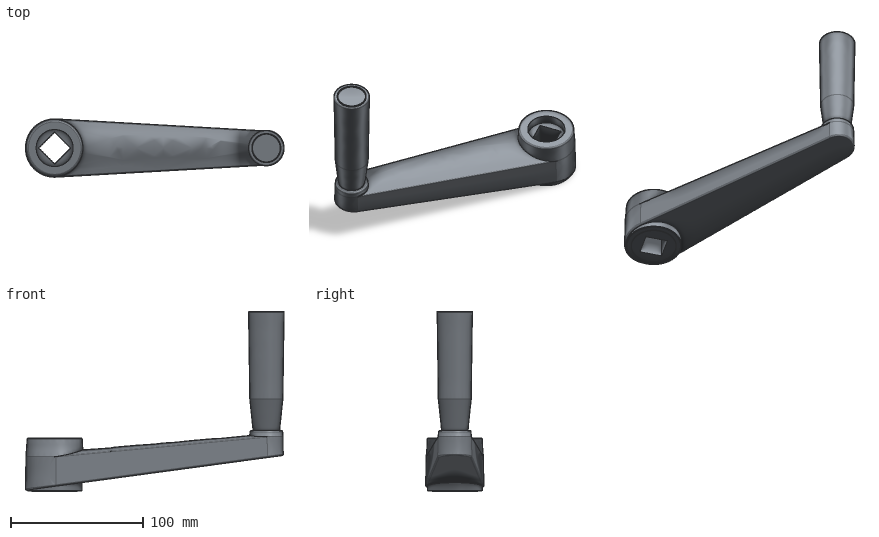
import cadquery as cq
import math

HUB_RADIUS = 22.17
HUB_HEIGHT = 40.5
HUB_SHOULDER_Z = 26.4
HUB_TOP_RADIUS = 20.8
HUB_TOP_FILLET = 1.0
BOSS_RADIUS = 20.8
BOSS_BOTTOM_CHAMFER = 0.5
FOOT_RADIUS = 17.0
FOOT_HEIGHT = 0.5
BORE_DIAMETER = 28.0
BORE_DEPTH = 7.0
SQUARE_SIDE = 17.0

ARM_LENGTH = 160.0
TIP_RADIUS = 13.4
DRAFT_ANGLE = 1.0
UNDERSIDE_Z = 4.0
UNDERSIDE_ANGLE = 7.7
CROWN_Z = 29.8
CROWN_ANGLE = 4.9
HUB_CROWN_RISE = 3.3
TIP_CROWN_RISE = 2.1
UNDERSIDE_FILLET = 1.0
CROWN_FILLET = 0.6
ARCH_OVERHANG = 3.5
END_MARGIN = 1.0

COLLAR_BASE_Z = 41.7
CORE_DEPTH = 7.0
CORE_RADIUS = 12.0
COLLAR_TOP_Z = 46.2
COLLAR_TOP_RADIUS = 12.3
COLLAR_FILLET = 1.3

HANDLE_TOP_Z = 136.16
HANDLE_WAIST_Z = 70.2
HANDLE_FOOT_RADIUS = 10.05
HANDLE_WAIST_RADIUS = 12.55
HANDLE_TOP_RADIUS = 13.47
HANDLE_TOP_FILLET = 0.6
HANDLE_FOOT_FILLET = 0.4
CAP_BORE_DIAMETER = 22.0
CAP_DIAMETER = 21.0
CAP_GROOVE_DEPTH = 0.6


def cone(x, bottom_z, bottom_radius, top_z, top_radius):
    """Frustum about the vertical line at x."""
    return (
        cq.Workplane("XY", origin=(x, 0, bottom_z))
        .circle(bottom_radius)
        .workplane(offset=top_z - bottom_z)
        .circle(top_radius)
        .loft(ruled=True)
    )


def drafted(radius, z):
    """Radius that a wall of the given base radius has at height z."""
    return radius - z * math.tan(math.radians(DRAFT_ANGLE))


def plan_outline(height):
    """Two circles joined by their common tangents, extruded upward with draft."""
    lean = math.asin((HUB_RADIUS - TIP_RADIUS) / ARM_LENGTH)
    hub_x, hub_y = HUB_RADIUS * math.sin(lean), HUB_RADIUS * math.cos(lean)
    tip_x, tip_y = ARM_LENGTH + TIP_RADIUS * math.sin(lean), TIP_RADIUS * math.cos(lean)
    return (
        cq.Workplane("XY")
        .moveTo(hub_x, -hub_y)
        .lineTo(tip_x, -tip_y)
        .threePointArc((ARM_LENGTH + TIP_RADIUS, 0), (tip_x, tip_y))
        .lineTo(hub_x, hub_y)
        .threePointArc((-HUB_RADIUS, 0), (hub_x, -hub_y))
        .close()
        .extrude(height, taper=DRAFT_ANGLE)
    )


def arm_section(x):
    """Cross-section of the arm at x: arched top, flat bottom at ground level."""
    along = x / ARM_LENGTH
    half_width = HUB_RADIUS + (TIP_RADIUS - HUB_RADIUS) * along
    rise = HUB_CROWN_RISE + (TIP_CROWN_RISE - HUB_CROWN_RISE) * along
    ridge_z = CROWN_Z + x * math.tan(math.radians(CROWN_ANGLE))
    arch_radius = (half_width ** 2 + rise ** 2) / (2 * rise)
    reach = half_width + ARCH_OVERHANG
    edge_z = ridge_z - arch_radius + math.sqrt(arch_radius ** 2 - reach ** 2)
    return (
        cq.Workplane("YZ", origin=(x, 0, 0))
        .moveTo(-reach, 0)
        .lineTo(reach, 0)
        .lineTo(reach, edge_z)
        .threePointArc((0, ridge_z), (-reach, edge_z))
        .close()
        .wire()
        .val()
    )


def drafted_blank():
    """Plan outline with its underside cut to the slope and rounded."""
    start_x = -2 * HUB_RADIUS
    end_x = ARM_LENGTH + 2 * TIP_RADIUS
    slope = math.tan(math.radians(UNDERSIDE_ANGLE))
    below = (
        cq.Workplane("XZ")
        .moveTo(start_x, UNDERSIDE_Z + start_x * slope)
        .lineTo(end_x, UNDERSIDE_Z + end_x * slope)
        .lineTo(end_x, start_x)
        .lineTo(start_x, start_x)
        .close()
        .extrude(2 * HUB_RADIUS, both=True)
    )
    blank = plan_outline(COLLAR_TOP_Z).cut(below)
    return blank.faces("<Z").edges().fillet(UNDERSIDE_FILLET)


def slab(start_x, end_x, top_z):
    """Block over the full width of the part, from the ground up to top_z."""
    size_x = end_x - start_x
    block = cq.Workplane("XY").box(size_x, 3 * HUB_RADIUS, top_z, centered=(False, True, False))
    return block.translate((start_x, 0, 0))


def make_arm():
    start_x = -HUB_RADIUS - END_MARGIN
    end_x = ARM_LENGTH + TIP_RADIUS + END_MARGIN
    blank = drafted_blank()
    crowned = cq.Solid.makeLoft([arm_section(start_x), arm_section(end_x)], True)
    arm = blank.intersect(cq.Workplane(obj=crowned))
    arm = arm.faces(">Z").edges().fillet(CROWN_FILLET)
    middle = arm.intersect(slab(0, ARM_LENGTH, COLLAR_TOP_Z))
    hub_end = blank.intersect(slab(start_x, 0, HUB_SHOULDER_Z))
    tip_end = blank.intersect(slab(ARM_LENGTH, end_x, COLLAR_BASE_Z))
    return middle.union(hub_end).union(tip_end)


def make_hub():
    shoulder_radius = drafted(HUB_RADIUS, HUB_SHOULDER_Z)
    top = cone(0, HUB_SHOULDER_Z, shoulder_radius, HUB_HEIGHT, HUB_TOP_RADIUS)
    top = top.faces(">Z").edges().fillet(HUB_TOP_FILLET)
    boss = (
        cq.Workplane("XY", origin=(0, 0, FOOT_HEIGHT))
        .circle(BOSS_RADIUS)
        .extrude(HUB_SHOULDER_Z - FOOT_HEIGHT)
        .faces("<Z")
        .chamfer(BOSS_BOTTOM_CHAMFER)
    )
    foot = cq.Workplane("XY").circle(FOOT_RADIUS).extrude(HUB_SHOULDER_Z)
    return top.union(boss).union(foot)


def hub_opening():
    """Counterbore and the through square, turned corner-on to the arm."""
    bore = (
        cq.Workplane("XY", origin=(0, 0, HUB_HEIGHT - BORE_DEPTH))
        .circle(BORE_DIAMETER / 2)
        .extrude(BORE_DEPTH)
    )
    square = (
        cq.Workplane("XY")
        .transformed(rotate=(0, 0, 45))
        .rect(SQUARE_SIDE, SQUARE_SIDE)
        .extrude(HUB_HEIGHT)
    )
    return bore.union(square)


def make_collar():
    base_radius = drafted(TIP_RADIUS, COLLAR_BASE_Z)
    collar = cone(ARM_LENGTH, COLLAR_BASE_Z, base_radius, COLLAR_TOP_Z, COLLAR_TOP_RADIUS)
    collar = collar.faces(">Z").edges().fillet(COLLAR_FILLET)
    core = (
        cq.Workplane("XY", origin=(ARM_LENGTH, 0, COLLAR_BASE_Z - CORE_DEPTH))
        .circle(CORE_RADIUS)
        .extrude(CORE_DEPTH)
    )
    return collar.union(core)


def make_handle():
    grip = cone(ARM_LENGTH, HANDLE_WAIST_Z, HANDLE_WAIST_RADIUS, HANDLE_TOP_Z, HANDLE_TOP_RADIUS)
    grip = grip.faces(">Z").edges().fillet(HANDLE_TOP_FILLET)
    neck = cone(ARM_LENGTH, COLLAR_TOP_Z, HANDLE_FOOT_RADIUS, HANDLE_WAIST_Z, HANDLE_WAIST_RADIUS)
    neck = neck.faces("<Z").edges().fillet(HANDLE_FOOT_FILLET)
    groove = (
        cq.Workplane("XY", origin=(ARM_LENGTH, 0, HANDLE_TOP_Z - CAP_GROOVE_DEPTH))
        .circle(CAP_BORE_DIAMETER / 2)
        .circle(CAP_DIAMETER / 2)
        .extrude(CAP_GROOVE_DEPTH)
    )
    return neck.union(grip).cut(groove)


crank = make_arm().union(make_hub()).union(make_collar()).union(make_handle())
result = crank.cut(hub_opening())